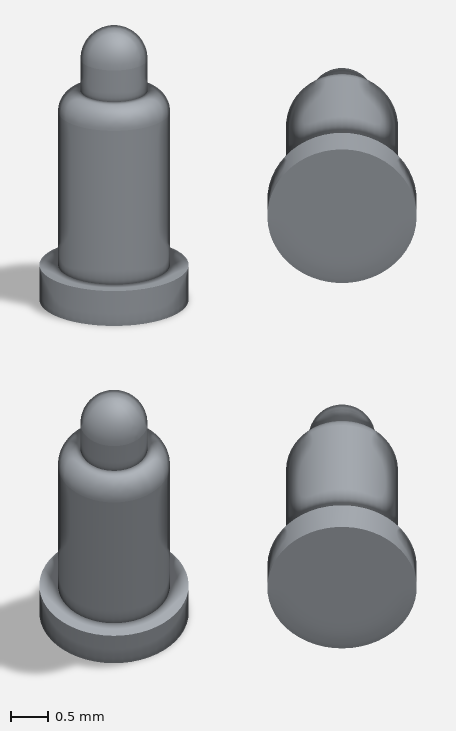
import cadquery as cq
import math

total_height = 3.9
flange_diameter = 2.0
flange_height = 0.5
barrel_diameter = 1.5
barrel_top = 3.0
plunger_diameter = 0.9

flange_radius = flange_diameter / 2
barrel_radius = barrel_diameter / 2
plunger_radius = plunger_diameter / 2
shoulder_radius = barrel_radius - plunger_radius
shoulder_start = barrel_top - shoulder_radius
dome_start = total_height - plunger_radius

diagonal = math.sqrt(0.5)
shoulder_middle = (
    plunger_radius + shoulder_radius * diagonal,
    shoulder_start + shoulder_radius * diagonal,
)
dome_middle = (plunger_radius * diagonal, dome_start + plunger_radius * diagonal)

half_section = (
    cq.Workplane("XZ")
    .lineTo(flange_radius, 0)
    .lineTo(flange_radius, flange_height)
    .lineTo(barrel_radius, flange_height)
    .lineTo(barrel_radius, shoulder_start)
    .threePointArc(shoulder_middle, (plunger_radius, barrel_top))
    .lineTo(plunger_radius, dome_start)
    .threePointArc(dome_middle, (0, total_height))
    .close()
)

result = half_section.revolve(360, (0, 0), (0, 1))